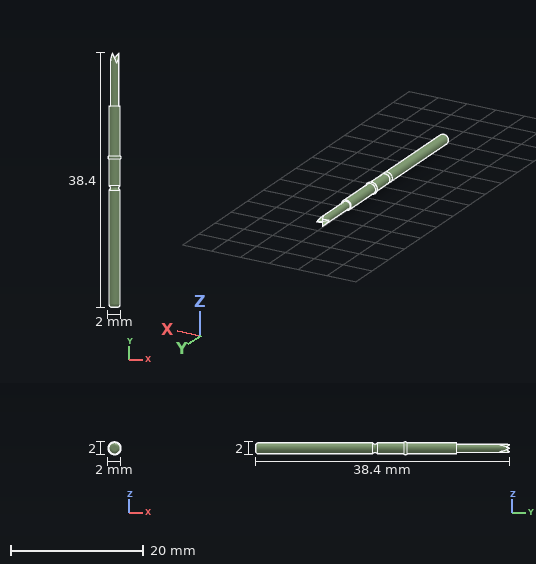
import cadquery as cq
import math

total_length = 38.4
plunger_radius = 0.65
plunger_exposed = 8.0
barrel_radius = 0.85
barrel_length = total_length - plunger_exposed
plunger_mouth_to_collar = 7.5
collar_to_groove = 4.0
end_rounding = 0.45

collar_radius = 1.0
collar_width = 0.5
collar_front = barrel_length - plunger_mouth_to_collar
collar_rear = collar_front - collar_width
collar_middle = (collar_front + collar_rear) / 2

groove_width = 0.7
groove_depth = 0.2
groove_front = collar_rear - collar_to_groove
groove_rear = groove_front - groove_width
groove_middle = (groove_front + groove_rear) / 2

tooth_count = 3
tooth_pitch = 360 / tooth_count
half_pitch_angle = math.radians(tooth_pitch / 2)
notch_depth_at_axis = 0.65
notch_depth_at_surface = 1.5
notch_floor_slope = (notch_depth_at_surface - notch_depth_at_axis) / plunger_radius
point_sideways = plunger_radius * math.sin(half_pitch_angle)
point_outwards = plunger_radius * math.cos(half_pitch_angle)
notch_flank_slope = (notch_depth_at_axis + notch_floor_slope * point_outwards) / point_sideways



def make_body():
    """Revolve the half outline of barrel, collar and plunger about the Y axis."""
    rounding_center = barrel_radius - end_rounding
    diagonal = end_rounding * math.sqrt(0.5)
    outline = (
        cq.Workplane("ZY")
        .lineTo(rounding_center, 0)
        .threePointArc((rounding_center + diagonal, end_rounding - diagonal), (barrel_radius, end_rounding))
        .lineTo(barrel_radius, groove_rear)
        .threePointArc((barrel_radius - groove_depth, groove_middle), (barrel_radius, groove_front))
        .lineTo(barrel_radius, collar_rear)
        .threePointArc((collar_radius, collar_middle), (barrel_radius, collar_front))
        .lineTo(barrel_radius, barrel_length)
        .lineTo(plunger_radius, barrel_length)
        .lineTo(plunger_radius, total_length)
        .lineTo(0, total_length)
        .close()
    )
    return outline.revolve(360, (0, 0, 0), (0, 1, 0))


def make_notch(angle):
    """V-shaped cutter whose floor falls from the axis to the surface, turned to an angle about Y."""
    reach = 2 * plunger_radius
    floor_drop = notch_floor_slope * reach
    floor_y = total_length - notch_depth_at_axis
    top_y = total_length + floor_drop
    half_width = (top_y - floor_y) / notch_flank_slope
    profile = cq.Wire.makePolygon(
        [
            cq.Vector(0, floor_y, 0),
            cq.Vector(0, top_y, half_width),
            cq.Vector(0, top_y, -half_width),
        ],
        close=True,
    )
    notch = cq.Solid.extrudeLinear(profile, [], cq.Vector(-reach, -floor_drop, 0))
    return notch.rotate(cq.Vector(0, 0, 0), cq.Vector(0, 1, 0), angle)


result = make_body()
for tooth in range(tooth_count):
    result = result.cut(make_notch(tooth * tooth_pitch))